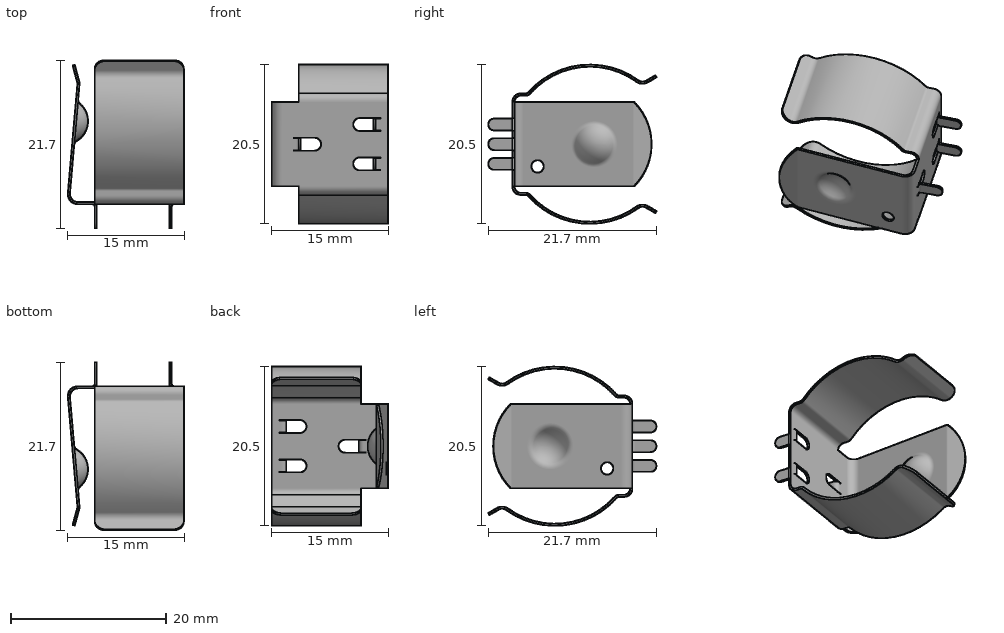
import cadquery as cq
import math

SHEET = 0.3
OVERALL_DEPTH = 21.7

PLATE_RIGHT = 11.52
PLATE_HALF_HEIGHT = 5.45

ARM_FOOT_RADIUS = 1.1
ARM_FOOT_FLAT = 0.6
ARM_ROOT_RADIUS = 0.5
ARM_ROOT_ANGLE = 48.4
ARM_ARC_RADIUS = 10.58
ARM_ARC_DROP_ANGLE = 36
ARM_MOUTH_RADIUS = 0.95
LIP_ANGLE = 30
LIP_CORNER_RADIUS = 1.35

LEAF_BEND_X = -2.15
LEAF_BEND_RADIUS = 1.32
LEAF_LEAN = 5
LEAF_LENGTH = 14.19
LEAF_TIP_ANGLE = 15
LEAF_KINK_RADIUS = 0.33
LEAF_TIP_LENGTH = 2.35

DIMPLE_Y = 10.6
DIMPLE_RIM_RADIUS = 2.97
DIMPLE_BOWL_RADIUS = 2.15
DIMPLE_DEPTH = 1.52

HOLE_Y = 3.28
HOLE_Z = -2.86
HOLE_DIAMETER = 1.58

TAB_WIDTH = 1.56
TAB_REACH = 3.1
TAB_BEND_RADIUS = 0.3
TAB_PITCH = 2.54
SLOT_WIDTH = 1.63
SLOT_LENGTH = 3.5
SLIT_DEPTH = 0.3
RIGHT_TAB_FACE_X = 9.93

LIP_START_Y = (
    ARM_FOOT_RADIUS
    + ARM_FOOT_FLAT
    + (ARM_ROOT_RADIUS + ARM_ARC_RADIUS) * math.sin(math.radians(ARM_ROOT_ANGLE))
    + (ARM_ARC_RADIUS + ARM_MOUTH_RADIUS) * math.sin(math.radians(ARM_ARC_DROP_ANGLE))
    + (ARM_MOUTH_RADIUS + SHEET) * math.sin(math.radians(LIP_ANGLE))
)
LIP_LENGTH = (OVERALL_DEPTH - TAB_REACH - LIP_START_Y) / math.cos(math.radians(LIP_ANGLE))


def straight(length):
    """A flat stretch of sheet: length along the mid line and no turn."""
    return length, 0.0


def bend(mid_radius, angle):
    """A bent stretch of sheet: length along the mid line and turn (left is positive)."""
    return mid_radius * math.radians(abs(angle)), angle


def advance(pose, length, turn):
    """Follow the mid line from a pose (x, y, heading in degrees)."""
    x, y, heading = pose
    half_turn = math.radians(turn / 2)
    chord = length * math.sin(half_turn) / half_turn if turn else length
    direction = math.radians(heading) + half_turn
    return x + chord * math.cos(direction), y + chord * math.sin(direction), heading + turn


def beside(pose, distance):
    """Point at a distance to the left of a pose."""
    x, y, heading = pose
    angle = math.radians(heading + 90)
    return x + distance * math.cos(angle), y + distance * math.sin(angle)


def bent_strip(plane, start, stretches):
    """Closed outline of a bent sheet seen edge-on, and the pose at its far end."""
    half = SHEET / 2
    middles = []
    poses = [start]
    for length, turn in stretches:
        middles.append(advance(poses[-1], length / 2, turn / 2))
        poses.append(advance(poses[-1], length, turn))
    outline = cq.Workplane(plane).moveTo(*beside(start, half))
    for (_, turn), middle, end in zip(stretches, middles, poses[1:]):
        if turn:
            outline = outline.threePointArc(beside(middle, half), beside(end, half))
        else:
            outline = outline.lineTo(*beside(end, half))
    outline = outline.lineTo(*beside(poses[-1], -half))
    for (_, turn), middle, end in reversed(list(zip(stretches, middles, poses))):
        if turn:
            outline = outline.threePointArc(beside(middle, -half), beside(end, -half))
        else:
            outline = outline.lineTo(*beside(end, -half))
    return outline.close(), poses[-1]


def make_arm():
    """Upper gripping arm, rising from the top edge of the back plate."""
    half = SHEET / 2
    outline, _ = bent_strip(
        "YZ",
        (half, PLATE_HALF_HEIGHT, 90),
        [
            bend(ARM_FOOT_RADIUS - half, -90),
            straight(ARM_FOOT_FLAT),
            bend(ARM_ROOT_RADIUS + half, ARM_ROOT_ANGLE),
            bend(ARM_ARC_RADIUS - half, -ARM_ROOT_ANGLE - ARM_ARC_DROP_ANGLE),
            bend(ARM_MOUTH_RADIUS + half, ARM_ARC_DROP_ANGLE + LIP_ANGLE),
            straight(LIP_LENGTH),
        ],
    )
    arm = outline.extrude(PLATE_RIGHT)
    lip_end = arm.faces(">Y")
    return lip_end.edges("not(|X)").fillet(LIP_CORNER_RADIUS)


def make_plate_and_leaf():
    """Back plate and contact leaf in one bent strip, with the rounded leaf tip."""
    half = SHEET / 2
    outline, tip = bent_strip(
        "XY",
        (PLATE_RIGHT, half, 180),
        [
            straight(PLATE_RIGHT - LEAF_BEND_X),
            bend(LEAF_BEND_RADIUS - half, -90 - LEAF_LEAN),
            straight(LEAF_LENGTH),
            bend(LEAF_KINK_RADIUS, LEAF_LEAN + LEAF_TIP_ANGLE),
            straight(LEAF_TIP_LENGTH),
        ],
    )
    strip = outline.extrude(PLATE_HALF_HEIGHT, both=True)

    tip_x, tip_y, tip_heading = tip
    along = math.radians(tip_heading)
    tip_plane = cq.Plane(
        origin=(tip_x, tip_y, 0),
        xDir=(math.cos(along), math.sin(along), 0),
        normal=(math.sin(along), -math.cos(along), 0),
    )
    corners = (
        cq.Workplane(tip_plane)
        .moveTo(-LEAF_TIP_LENGTH, -PLATE_HALF_HEIGHT)
        .threePointArc((0, 0), (-LEAF_TIP_LENGTH, PLATE_HALF_HEIGHT))
        .lineTo(SHEET, PLATE_HALF_HEIGHT)
        .lineTo(SHEET, -PLATE_HALF_HEIGHT)
        .close()
        .extrude(SHEET, both=True)
    )
    return strip.cut(corners)


def leaf_plane(y):
    """Plane on the hollow side of the leaf: local x runs up the leaf, local y into the clip."""
    lean = math.radians(LEAF_LEAN)
    bend_end_x = LEAF_BEND_X - LEAF_BEND_RADIUS * math.cos(lean)
    bend_end_y = LEAF_BEND_RADIUS * (1 + math.sin(lean))
    return cq.Plane(
        origin=(bend_end_x + (y - bend_end_y) * math.tan(lean), y, 0),
        xDir=(math.sin(lean), math.cos(lean), 0),
        normal=(0, 0, -1),
    )


def dimple_body(plane, level, rim_round, bowl_sphere, angle):
    """Solid between the leaf face at a level and a bowl blended into that face."""
    rim = (rim_round + bowl_sphere) * math.sin(angle)
    depth = (rim_round + bowl_sphere) * (1 - math.cos(angle))

    def on_rim(turn):
        return rim - rim_round * math.sin(turn), level + rim_round * (1 - math.cos(turn))

    def on_bowl(turn):
        return bowl_sphere * math.sin(turn), level + depth - bowl_sphere * (1 - math.cos(turn))

    return (
        cq.Workplane(plane)
        .moveTo(0, level)
        .lineTo(rim, level)
        .threePointArc(on_rim(angle / 2), on_rim(angle))
        .threePointArc(on_bowl(angle / 2), (0, level + depth))
        .close()
        .revolve(360, (0, 0), (0, 1))
    )


def add_dimple(body):
    """Press a round dimple of constant sheet thickness into the leaf."""
    plane = leaf_plane(DIMPLE_Y)
    angle = 2 * math.atan(DIMPLE_DEPTH / DIMPLE_RIM_RADIUS)
    rim_round = (DIMPLE_RIM_RADIUS - DIMPLE_BOWL_RADIUS) / math.sin(angle)
    bowl_sphere = DIMPLE_BOWL_RADIUS / math.sin(angle)
    dome = dimple_body(plane, SHEET, rim_round - SHEET, bowl_sphere + SHEET, angle)
    hollow = dimple_body(plane, 0, rim_round, bowl_sphere, angle)
    return body.union(dome).cut(hollow)


def leaf_hole():
    """Cutter for the small round hole beside the leaf bend."""
    plane = leaf_plane(HOLE_Y)
    normal_plane = cq.Plane(origin=plane.origin, xDir=plane.xDir, normal=plane.yDir)
    return (
        cq.Workplane(normal_plane)
        .center(0, HOLE_Z)
        .circle(HOLE_DIAMETER / 2)
        .extrude(2 * SHEET, both=True)
    )


def slot_cutter():
    """D-ended slot for a tab with its outer face at X = 0 and which bends away from -X."""
    radius = SLOT_WIDTH / 2
    left = -TAB_BEND_RADIUS - SLIT_DEPTH
    arc_start = left + SLOT_LENGTH - radius
    return (
        cq.Workplane("XZ")
        .moveTo(left, -radius)
        .lineTo(arc_start, -radius)
        .threePointArc((arc_start + radius, 0), (arc_start, radius))
        .lineTo(left, radius)
        .close()
        .extrude(-SHEET)
    )


def make_tab():
    """Tab with its outer face at X = 0, reaching out along -Y with a fully rounded end."""
    half = SHEET / 2
    outline, _ = bent_strip(
        "XY",
        (-TAB_BEND_RADIUS - SLIT_DEPTH, half, 0),
        [
            straight(SLIT_DEPTH),
            bend(TAB_BEND_RADIUS + half, -90),
            straight(TAB_REACH - TAB_BEND_RADIUS),
        ],
    )
    tab = outline.extrude(TAB_WIDTH / 2, both=True)
    end_radius = TAB_WIDTH / 2
    end_start = end_radius - TAB_REACH
    rounded_end = (
        cq.Workplane("YZ")
        .moveTo(SHEET, -end_radius)
        .lineTo(end_start, -end_radius)
        .threePointArc((-TAB_REACH, 0), (end_start, end_radius))
        .lineTo(SHEET, end_radius)
        .close()
        .extrude(TAB_BEND_RADIUS + SHEET + SLIT_DEPTH, both=True)
    )
    return tab.intersect(rounded_end)


def place_tabs(body):
    """Cut the slots and add one tab at the left and two facing tabs at the right."""
    slot = slot_cutter()
    tab = make_tab()
    body = body.cut(slot).union(tab)
    for z in (-TAB_PITCH, TAB_PITCH):
        body = body.cut(slot.mirror("YZ").translate((RIGHT_TAB_FACE_X, 0, z)))
        body = body.union(tab.mirror("YZ").translate((RIGHT_TAB_FACE_X, 0, z)))
    return body


arm = make_arm()
clip = make_plate_and_leaf().union(arm).union(arm.mirror("XY"))
clip = add_dimple(clip).cut(leaf_hole())
result = place_tabs(clip)